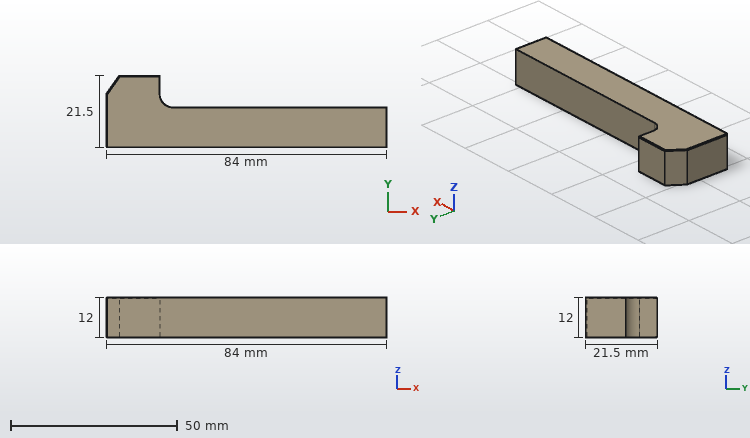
import cadquery as cq

length = 84.0
head_height = 21.5
thickness = 12.0

bar_height = 12.0
head_width = 16.0
inner_radius = 4.0

slant_run = 3.85
slant_rise = 5.5

edge_chamfer = 0.3

left = -length / 2
right = length / 2
bottom = -head_height / 2
top = head_height / 2


def make_body():
    """Extrude the L-shaped outline, centred on Z."""
    outline = [
        (left, bottom),
        (right, bottom),
        (right, bottom + bar_height),
        (left + head_width, bottom + bar_height),
        (left + head_width, top),
        (left + slant_run, top),
        (left, top - slant_rise),
    ]
    return cq.Workplane("XY").polyline(outline).close().extrude(thickness / 2, both=True)


def round_inner_corner(body):
    """Round the upright edge where the bar meets the head."""
    corner = (left + head_width, bottom + bar_height, 0)
    return body.edges(cq.selectors.NearestToPointSelector(corner)).fillet(inner_radius)


def break_head_edges(body):
    """Chamfer the -X upright corner and the rims of the end face, slant and head top."""
    half = thickness / 2
    edge_middles = [(left, bottom, 0)]
    for z in (-half, half):
        edge_middles.append((left, (bottom + top - slant_rise) / 2, z))
        edge_middles.append((left + slant_run / 2, top - slant_rise / 2, z))
        edge_middles.append((left + (slant_run + head_width) / 2, top, z))
    edges = cq.Workplane("XY")
    for middle in edge_middles:
        edges = edges.add(body.edges(cq.selectors.NearestToPointSelector(middle)))
    return body.newObject(edges.vals()).chamfer(edge_chamfer)


result = break_head_edges(round_inner_corner(make_body()))